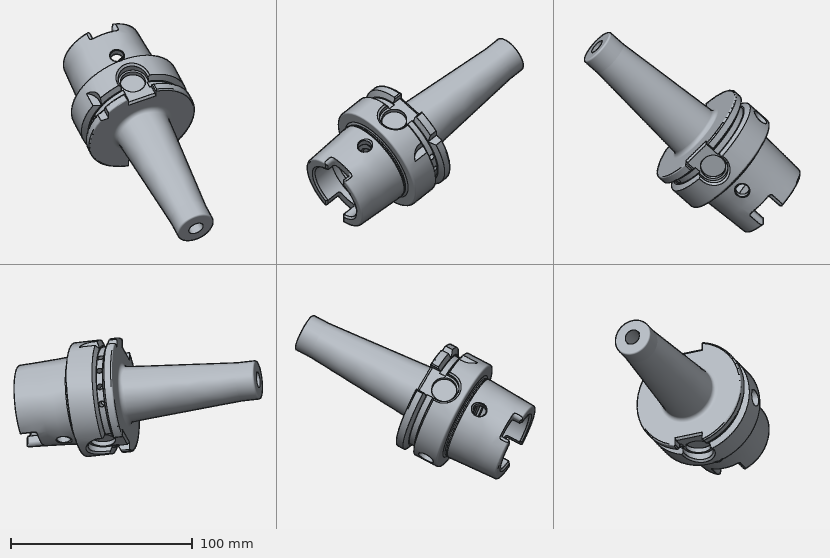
import cadquery as cq
import math


SHANK_END_RADIUS = 22.6
SHANK_BASE_RADIUS = 24.2
SHANK_BASE_X = 29.7
SHANK_EDGE_FILLET = 1.0
RELIEF_RADIUS = 23.8
RELIEF_START_X = 30.5
RELIEF_END_X = 31.3
RELIEF_RIM_RADIUS = 25.3

FLANGE_RADIUS = 31.5
FLANGE_START_X = 31.8
FLANGE_END_X = 58.0
FLANGE_FRONT_FILLET = 1.0
FLANGE_BACK_FILLET = 0.8
GROOVE_FLOOR_RADIUS = 27.4
GROOVE_WALL_RADIUS = 28.2
GROOVE_START_X = 48.1
GROOVE_END_X = 51.7
GROOVE_FRONT_BEVEL = 1.5
GROOVE_BACK_BEVEL = 1.7

NOSE_BASE_RADIUS = 15.3
NOSE_BASE_FILLET = 2.7
NOSE_TIP_START_X = 122.8
NOSE_TIP_RADIUS = 10.6
NOSE_TIP_FILLET = 1.0
TOTAL_LENGTH = 133.0

BORE_RADIUS = 16.8
BORE_MOUTH_RADIUS = 17.8
UNDERCUT_START_X = 13.3
UNDERCUT_RADIUS = 19.7
UNDERCUT_ANGLE = 30
UNDERCUT_END_X = 27.9
BORE_DEPTH = 29.3
BORE_FLOOR_RADIUS = 15.7
COOLANT_BORE_RADIUS = 8.8
COOLANT_BORE_CHAMFER = 0.7
COOLANT_BORE_END_X = 39.9
THROUGH_HOLE_RADIUS = 4.3
THROUGH_HOLE_CHAMFER = 0.4

SLOT_HALF_WIDTH = 6.3
SLOT_EDGE_RADIUS = 2.4
SLOT_EDGE_START_Z = 18.6
SLOT_FLOOR_FILLET = 1.3
SLOT_MOUTH_CHAMFER = 1.0
TOP_SLOT_DEPTH = 5.7
BOTTOM_SLOT_DEPTH = 9.7

CROSS_HOLE_X = 22.7
CROSS_HOLE_RADIUS = 3.7
CROSS_HOLE_CHAMFER = 0.7
CROSS_HOLE_OVERSHOOT = 1.3

POCKET_X = 45.0
POCKET_HALF_WIDTH = 8.1
POCKET_FLOOR_Z = 26.5
POCKET_FRONT_CHAMFER = 1.2
POCKET_BACK_CHAMFER = 0.8
POCKET_FLOOR_CHAMFER = 1.2
RECESS_RADIUS = 6.9
RECESS_DEPTH = 2.7

NOTCH_WALL_Y = -20.1
NOTCH_FLOOR_Z = 19.7
NOTCH_CUTTER_RADIUS = 8.0

BALANCE_HOLE_RADIUS = 1.6
BALANCE_HOLE_DEPTH = 6.6
BALANCE_HOLE_ANGLES = (25, 5, -15, -35)

CHIP_HOLE_X = 39.0
CHIP_HOLE_RADIUS = 4.7
CHIP_HOLE_DEPTH = 4.5

CLEARANCE = 6.6
EDGE_MARGIN = 0.1


def revolved(profile):
    """Turn a profile drawn as (x, radius) around the X axis."""
    return profile.close().revolve(360, (0, 0, 0), (1, 0, 0))


def shank():
    """Tapered shank with a relief where it meets the flange."""
    body = revolved(
        cq.Workplane("XY")
        .lineTo(0, SHANK_END_RADIUS)
        .lineTo(SHANK_BASE_X, SHANK_BASE_RADIUS)
        .lineTo(RELIEF_START_X, RELIEF_RADIUS)
        .lineTo(RELIEF_END_X, RELIEF_RADIUS)
        .lineTo(FLANGE_START_X, RELIEF_RIM_RADIUS)
        .lineTo(FLANGE_START_X, 0)
    )
    return body.faces("<X").edges().fillet(SHANK_EDGE_FILLET)


def flange_envelope():
    """Flange as a turned body, with its gripper groove."""
    body = revolved(
        cq.Workplane("XY")
        .moveTo(FLANGE_START_X, 0)
        .lineTo(FLANGE_START_X, FLANGE_RADIUS)
        .lineTo(GROOVE_START_X - GROOVE_FRONT_BEVEL, FLANGE_RADIUS)
        .lineTo(GROOVE_START_X, GROOVE_WALL_RADIUS)
        .lineTo(GROOVE_START_X, GROOVE_FLOOR_RADIUS)
        .lineTo(GROOVE_END_X, GROOVE_FLOOR_RADIUS)
        .lineTo(GROOVE_END_X, GROOVE_WALL_RADIUS)
        .lineTo(GROOVE_END_X + GROOVE_BACK_BEVEL, FLANGE_RADIUS)
        .lineTo(FLANGE_END_X, FLANGE_RADIUS)
        .lineTo(FLANGE_END_X, 0)
    )
    body = body.faces("<X").edges().fillet(FLANGE_FRONT_FILLET)
    return body.faces(">X").edges().fillet(FLANGE_BACK_FILLET)


def nose():
    """Slim tapered nose blended into the back of the flange."""
    arc_middle = NOSE_BASE_FILLET * (1 - math.sqrt(0.5))
    body = revolved(
        cq.Workplane("XY")
        .moveTo(FLANGE_END_X, 0)
        .lineTo(FLANGE_END_X, NOSE_BASE_RADIUS + NOSE_BASE_FILLET)
        .threePointArc(
            (FLANGE_END_X + arc_middle, NOSE_BASE_RADIUS + arc_middle),
            (FLANGE_END_X + NOSE_BASE_FILLET, NOSE_BASE_RADIUS),
        )
        .lineTo(NOSE_TIP_START_X, NOSE_TIP_RADIUS)
        .lineTo(TOTAL_LENGTH, NOSE_TIP_RADIUS)
        .lineTo(TOTAL_LENGTH, 0)
    )
    return body.faces(">X").edges().fillet(NOSE_TIP_FILLET)


def bores():
    """Clamping bore with its undercut, coolant bore and through hole."""
    shoulder_length = (UNDERCUT_RADIUS - BORE_RADIUS) / math.tan(math.radians(UNDERCUT_ANGLE))
    return revolved(
        cq.Workplane("XY")
        .lineTo(0, BORE_MOUTH_RADIUS)
        .lineTo(BORE_MOUTH_RADIUS - BORE_RADIUS, BORE_RADIUS)
        .lineTo(UNDERCUT_START_X, BORE_RADIUS)
        .lineTo(UNDERCUT_START_X + shoulder_length, UNDERCUT_RADIUS)
        .lineTo(UNDERCUT_END_X, UNDERCUT_RADIUS)
        .lineTo(UNDERCUT_END_X, BORE_FLOOR_RADIUS)
        .lineTo(BORE_DEPTH, BORE_FLOOR_RADIUS)
        .lineTo(BORE_DEPTH, COOLANT_BORE_RADIUS + COOLANT_BORE_CHAMFER)
        .lineTo(BORE_DEPTH + COOLANT_BORE_CHAMFER, COOLANT_BORE_RADIUS)
        .lineTo(COOLANT_BORE_END_X, COOLANT_BORE_RADIUS)
        .lineTo(COOLANT_BORE_END_X, THROUGH_HOLE_RADIUS + THROUGH_HOLE_CHAMFER)
        .lineTo(COOLANT_BORE_END_X + THROUGH_HOLE_CHAMFER, THROUGH_HOLE_RADIUS)
        .lineTo(TOTAL_LENGTH, THROUGH_HOLE_RADIUS)
        .lineTo(TOTAL_LENGTH, 0)
    )


def drive_slot(depth):
    """Slot with flared outer edges, cut into the top of the shank end."""
    flare_y = SLOT_HALF_WIDTH + SLOT_EDGE_RADIUS
    flare_z = SLOT_EDGE_START_Z + SLOT_EDGE_RADIUS
    middle_y = flare_y - SLOT_EDGE_RADIUS * math.sqrt(0.5)
    middle_z = SLOT_EDGE_START_Z + SLOT_EDGE_RADIUS * math.sqrt(0.5)
    inner_z = BORE_RADIUS / 2
    top_z = SHANK_BASE_RADIUS + CLEARANCE
    slot = (
        cq.Workplane("YZ")
        .moveTo(-SLOT_HALF_WIDTH, inner_z)
        .lineTo(-SLOT_HALF_WIDTH, SLOT_EDGE_START_Z)
        .threePointArc((-middle_y, middle_z), (-flare_y, flare_z))
        .lineTo(-flare_y, top_z)
        .lineTo(flare_y, top_z)
        .lineTo(flare_y, flare_z)
        .threePointArc((middle_y, middle_z), (SLOT_HALF_WIDTH, SLOT_EDGE_START_Z))
        .lineTo(SLOT_HALF_WIDTH, inner_z)
        .close()
        .extrude(depth)
        .faces(">X")
        .edges("(not <Z) and (not >Z)")
        .fillet(SLOT_FLOOR_FILLET)
    )
    mouth_half_width = SLOT_HALF_WIDTH + SLOT_MOUTH_CHAMFER
    mouth = (
        cq.Workplane("XY", origin=(0, 0, inner_z))
        .moveTo(0, -mouth_half_width)
        .lineTo(SLOT_MOUTH_CHAMFER, -SLOT_HALF_WIDTH)
        .lineTo(SLOT_MOUTH_CHAMFER, SLOT_HALF_WIDTH)
        .lineTo(0, mouth_half_width)
        .close()
        .extrude(top_z - inner_z)
    )
    return slot.union(mouth)


def turned_to_bottom(feature):
    """Turn a feature made at the top of the part half a turn around the X axis."""
    return feature.rotate((0, 0, 0), (1, 0, 0), 180)


def cross_hole():
    """Hole through both shank walls, chamfered where it breaks out."""
    taper_rise = (SHANK_BASE_RADIUS - SHANK_END_RADIUS) * CROSS_HOLE_X / SHANK_BASE_X
    wall_radius = SHANK_END_RADIUS + taper_rise
    end_z = wall_radius + CROSS_HOLE_OVERSHOOT
    end_radius = CROSS_HOLE_RADIUS + CROSS_HOLE_CHAMFER + CROSS_HOLE_OVERSHOOT
    profile = (
        cq.Workplane("XZ", origin=(CROSS_HOLE_X, 0, 0))
        .lineTo(CROSS_HOLE_RADIUS, 0)
        .lineTo(CROSS_HOLE_RADIUS, wall_radius - CROSS_HOLE_CHAMFER)
        .lineTo(end_radius, end_z)
        .lineTo(0, end_z)
        .close()
    )
    half = profile.revolve(360, (0, 0, 0), (0, 1, 0))
    return half.union(turned_to_bottom(half))


def key_pocket():
    """Top pocket: round toward the shank, open toward the nose, with a round recess in its floor."""
    base = cq.Workplane("XY", origin=(POCKET_X, 0, POCKET_FLOOR_Z))
    run_out_length = TOTAL_LENGTH - POCKET_X
    round_end = base.circle(POCKET_HALF_WIDTH).extrude(CLEARANCE)
    run_out = base.rect(run_out_length, 2 * POCKET_HALF_WIDTH, centered=(False, True)).extrude(CLEARANCE)
    recess = base.circle(RECESS_RADIUS).extrude(-RECESS_DEPTH)
    return round_end.union(run_out).union(recess)


def flange_blank(start_x, end_x, rim_chamfer):
    """Plain disc with both key pockets cut and the pocket rims chamfered."""
    blank = cq.Workplane("YZ", origin=(start_x, 0, 0)).circle(FLANGE_RADIUS).extrude(end_x - start_x)
    pocket = key_pocket()
    blank = blank.cut(pocket.union(turned_to_bottom(pocket)))
    rim_z = math.sqrt(FLANGE_RADIUS**2 - POCKET_HALF_WIDTH**2)
    for side in (1, -1):
        rim = cq.selectors.BoxSelector(
            (start_x + EDGE_MARGIN, -POCKET_HALF_WIDTH - EDGE_MARGIN, side * (rim_z - EDGE_MARGIN)),
            (end_x - EDGE_MARGIN, POCKET_HALF_WIDTH + EDGE_MARGIN, side * (FLANGE_RADIUS + EDGE_MARGIN)),
        )
        blank = blank.edges(rim).chamfer(rim_chamfer)
    return blank


def flange():
    """Flange with key pockets, its front and back halves chamfered by different amounts."""
    groove_middle_x = (GROOVE_START_X + GROOVE_END_X) / 2
    front = flange_blank(FLANGE_START_X, groove_middle_x, POCKET_FRONT_CHAMFER)
    back = flange_blank(groove_middle_x, FLANGE_END_X, POCKET_BACK_CHAMFER)
    for side in (1, -1):
        floor_edge = cq.selectors.NearestToPointSelector((FLANGE_END_X, 0, side * POCKET_FLOOR_Z))
        back = back.edges(floor_edge).chamfer(POCKET_FLOOR_CHAMFER)
    return front.union(back).intersect(flange_envelope())


def orientation_notch():
    """Corner notch on the -Y side, rounded at its closed end, open toward the nose."""
    center_y = NOTCH_WALL_Y - NOTCH_CUTTER_RADIUS
    base = cq.Workplane("XY", origin=(POCKET_X, center_y, NOTCH_FLOOR_Z))
    round_end = base.circle(NOTCH_CUTTER_RADIUS).extrude(FLANGE_RADIUS)
    run_out = base.rect(FLANGE_END_X - POCKET_X, 2 * NOTCH_CUTTER_RADIUS, centered=(False, True))
    return round_end.union(run_out.extrude(FLANGE_RADIUS))


def balance_hole(angle):
    """Radial hole in the groove floor, angle degrees above the -Y direction."""
    return (
        cq.Workplane("XZ", origin=((GROOVE_START_X + GROOVE_END_X) / 2, 0, 0))
        .workplane(offset=GROOVE_FLOOR_RADIUS - BALANCE_HOLE_DEPTH)
        .circle(BALANCE_HOLE_RADIUS)
        .extrude(BALANCE_HOLE_DEPTH + CLEARANCE)
        .rotate((0, 0, 0), (1, 0, 0), -angle)
    )


def chip_hole():
    """Blind hole in the rim of the flange."""
    return (
        cq.Workplane("XZ", origin=(CHIP_HOLE_X, FLANGE_RADIUS, 0))
        .circle(CHIP_HOLE_RADIUS)
        .extrude(CHIP_HOLE_DEPTH)
    )


result = shank().union(flange()).union(nose())
result = result.cut(bores())
result = result.cut(drive_slot(TOP_SLOT_DEPTH))
result = result.cut(turned_to_bottom(drive_slot(BOTTOM_SLOT_DEPTH)))
result = result.cut(cross_hole())
result = result.cut(orientation_notch())
for hole_angle in BALANCE_HOLE_ANGLES:
    result = result.cut(balance_hole(hole_angle))
result = result.cut(chip_hole())